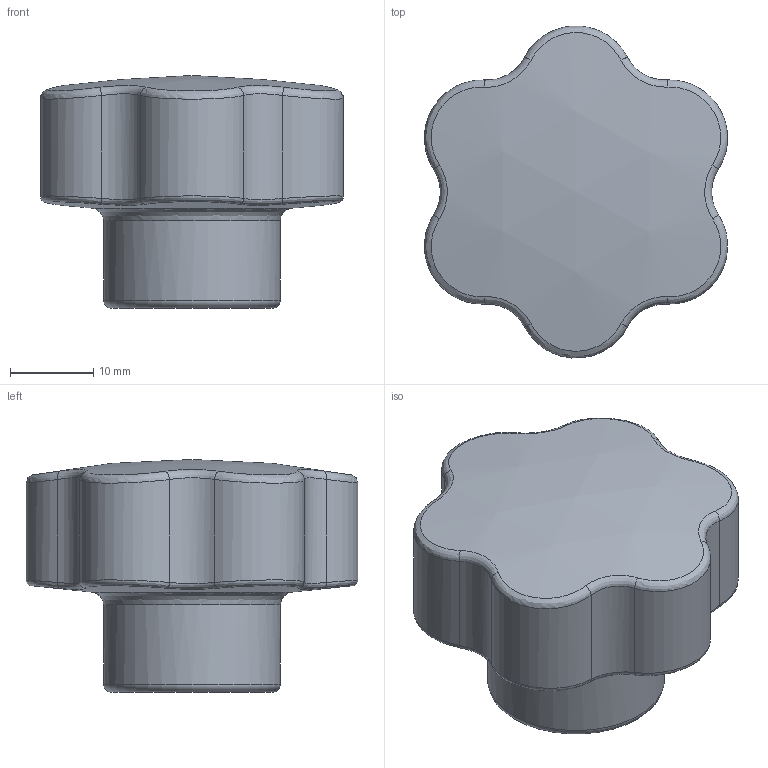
import cadquery as cq
import math

LOBE_COUNT = 6
grip_radius = 20.0
lobe_radius = 7.0
valley_radius = 5.0
hub_diameter = 21.3
total_height = 28.05
hub_height = 11.6
dome_radius = 100.0
underside_radius = 150.0
top_fillet = 1.0
lower_fillet = 0.7
hub_end_fillet = 1.0
hub_root_fillet = 1.5

hub_radius = hub_diameter / 2
hub_blank_height = hub_height + hub_root_fillet
half_pitch = math.pi / LOBE_COUNT
lobe_center_radius = grip_radius - lobe_radius
center_distance = lobe_radius + valley_radius
valley_center_radius = lobe_center_radius * math.cos(half_pitch) + math.sqrt(
    center_distance**2 - (lobe_center_radius * math.sin(half_pitch)) ** 2
)
valley_floor_radius = valley_center_radius - valley_radius


def polar(radius, angle):
    """Point at a distance and angle (radians) from the knob axis."""
    return (radius * math.cos(angle), radius * math.sin(angle))


def tangent_point(lobe_angle, valley_angle):
    """Point where the arc of a lobe meets the arc of the valley beside it."""
    lobe_x, lobe_y = polar(lobe_center_radius, lobe_angle)
    valley_x, valley_y = polar(valley_center_radius, valley_angle)
    share = lobe_radius / center_distance
    return (lobe_x + share * (valley_x - lobe_x), lobe_y + share * (valley_y - lobe_y))


def lobed_prism():
    """Straight prism with the scalloped outline; one lobe points along +Y."""
    first_lobe = math.pi / 2
    outline = cq.Workplane("XY").moveTo(*tangent_point(first_lobe, first_lobe - half_pitch))
    for index in range(LOBE_COUNT):
        lobe = first_lobe + 2 * half_pitch * index
        valley = lobe + half_pitch
        next_lobe = valley + half_pitch
        outline = outline.threePointArc(polar(grip_radius, lobe), tangent_point(lobe, valley))
        outline = outline.threePointArc(
            polar(valley_floor_radius, valley), tangent_point(next_lobe, valley)
        )
    return outline.close().extrude(total_height)


def ball(radius, center_height, seam_turn):
    """Sphere on the knob axis, turned about Y to keep its seam off the grip faces."""
    turned = cq.Workplane("XY").sphere(radius).rotate((0, 0, 0), (0, 1, 0), seam_turn)
    return turned.translate((0, 0, center_height))


def lens():
    """Space between the domed top and the bulging underside, both spherical."""
    dome = ball(dome_radius, total_height - dome_radius, 90)
    underside = ball(underside_radius, hub_height + underside_radius, -90)
    return dome.intersect(underside)


def grip():
    """Scalloped grip with both rims rounded."""
    body = lobed_prism().intersect(lens())
    body = body.faces(">Z").edges().fillet(top_fillet)
    return body.faces("<Z").edges().fillet(lower_fillet)


def hub():
    """Round hub with a rounded end, reaching up into the grip."""
    cylinder = cq.Workplane("XY").circle(hub_radius).extrude(hub_blank_height)
    return cylinder.faces("<Z").edges().fillet(hub_end_fillet)


def blend_hub_root(body):
    """Round the corner where the hub runs into the underside of the grip."""
    slack = 0.1
    zone = cq.selectors.BoxSelector(
        (-hub_radius - slack, -hub_radius - slack, hub_height),
        (hub_radius + slack, hub_radius + slack, hub_blank_height),
        boundingbox=True,
    )
    return body.edges(zone).fillet(hub_root_fillet)


result = blend_hub_root(grip().union(hub()))